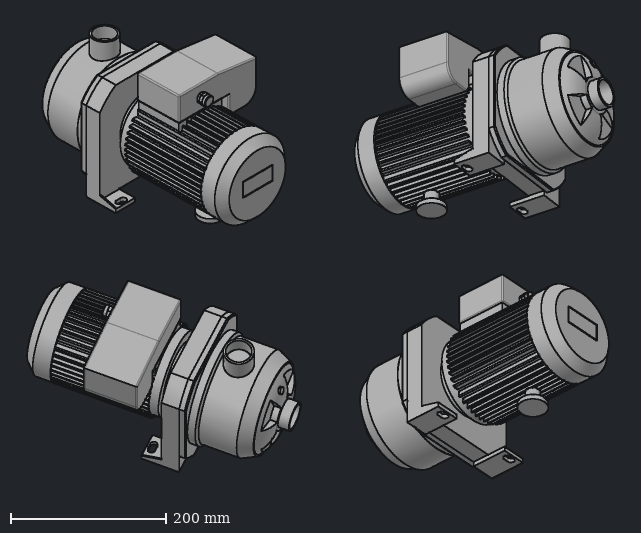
import cadquery as cq
import math


port_outer_dia = 40.0
port_bore_dia = 33.7
port_bore_depth = 20.0
hub_face_x = 15.0
hub_dia = 50.0
dome_radius = 54.5
dome_end_x = 30.0
cone_start_radius = 65.0
cone_end_x = 49.5
barrel_dia = 149.0
rim_slope_x = 103.0
rim_start_x = 106.2
rim_dia = 156.5
recess_floor_x = 24.8
recess_angle = 45.0
recess_count = 4
discharge_x = 79.0
discharge_top_z = 102.5

plug_dia = 10.0
plug_tilt = 17.0
plug_face_x = 18.2
plug_face_z = 48.7
plug_length = 8.0

plate_start_x = 117.0
bracket_start_x = 126.7
bracket_end_x = 151.5
plate_half_width = 83.0
plate_flat_half_width = 53.5
plate_corner_radius = math.hypot(plate_half_width, plate_flat_half_width)
plate_bevel_width = 2.0
plate_bevel_depth = 1.3
ground_z = -90.0
leg_width = 36.0
foot_end_x = 180.0
foot_thickness = 6.7
foot_rib_width = 2.0
foot_rib_top_z = -75.7
slot_width = 10.0
slot_x = 172.0
slot_inner_y = 56.0
slot_outer_y = 73.5

neck_dia = 91.0
core_start_x = 166.0
core_dia = 120.0
motor_dia = 130.0
fin_start_x = 178.8
fin_pitch = 8.08
fin_width = 2.0
fins_each_side = 5
seat_end_x = 251.5
seat_half_width = 39.4
cap_start_x = 316.0
cap_chamfer_x = 340.8
cap_end_x = 354.5
cap_end_radius = 52.2
nameplate_width = 55.0
nameplate_height = 24.5
nameplate_z = 3.8
nameplate_thickness = 1.0

box_start_x = 178.0
box_end_x = 253.5
box_front_y = -41.3
box_back_y = 102.0
box_top_z = 109.0
box_crease_y = 30.5
box_back_top_z = 99.3
box_floor_z = 65.0
box_drop_y = 50.0
box_drop_z = 31.8
box_drop_radius = 21.8
box_edge_radius = 2.0

gland_dia = 16.0
gland_z = 86.6
gland_nut_start_x = 257.2
gland_nut_end_x = 262.3
gland_end_x = 268.0
gland_nut_corner_dia = 17.5
gland_chamfer = 0.7

support_x = 269.7
support_stem_dia = 20.0
support_pad_dia = 40.0
support_cone_top_z = -76.5
support_pad_top_z = -82.7


def x_cylinder(diameter, start_x, end_x):
    """Cylinder on the shaft axis between two X positions."""
    return cq.Workplane("YZ").workplane(offset=start_x).circle(diameter / 2).extrude(end_x - start_x)


def x_prism(points, start_x, end_x):
    """Prism with a closed (Y, Z) outline between two X positions."""
    return cq.Workplane("YZ").workplane(offset=start_x).polyline(points).close().extrude(end_x - start_x)


def revolve_about_x(profile):
    return profile.close().revolve(360, (0, 0, 0), (1, 0, 0))


def vent_plug():
    tilt = math.radians(plug_tilt)
    inward = cq.Vector(math.cos(tilt), 0, -math.sin(tilt))
    face_center = cq.Vector(plug_face_x, 0, plug_face_z)
    return cq.Workplane(cq.Solid.makeCylinder(plug_dia / 2, plug_length, face_center, inward))


def dome_recess():
    """Pie-shaped pocket centred on the +Y direction, between the hub and the dome."""
    half_angle = math.radians(recess_angle / 2)
    reach = cone_start_radius
    side_y = reach * math.cos(half_angle)
    side_z = reach * math.sin(half_angle)
    wedge = x_prism([(0, 0), (side_y, -side_z), (side_y, side_z)], hub_face_x, recess_floor_x)
    return wedge.cut(x_cylinder(hub_dia, hub_face_x, recess_floor_x))


def pump_housing(plug):
    hub_radius = hub_dia / 2
    barrel_radius = barrel_dia / 2
    rim_radius = rim_dia / 2

    def dome_point(angle):
        return (
            hub_face_x + dome_radius * (1 - math.cos(angle)),
            hub_radius + dome_radius * math.sin(angle),
        )

    dome_angle = math.acos(1 - (dome_end_x - hub_face_x) / dome_radius)
    body = revolve_about_x(
        cq.Workplane("XY")
        .moveTo(hub_face_x, 0)
        .lineTo(hub_face_x, hub_radius)
        .threePointArc(dome_point(dome_angle / 2), dome_point(dome_angle))
        .lineTo(dome_end_x, cone_start_radius)
        .lineTo(cone_end_x, barrel_radius)
        .lineTo(rim_slope_x, barrel_radius)
        .lineTo(rim_start_x, rim_radius)
        .lineTo(plate_start_x, rim_radius)
        .lineTo(plate_start_x, 0)
    )
    recess = dome_recess()
    for index in range(recess_count):
        angle = 360 / recess_count * (index + 0.5)
        body = body.cut(recess.rotate((0, 0, 0), (1, 0, 0), angle))

    suction_port = x_cylinder(port_outer_dia, 0, recess_floor_x)
    suction_bore = x_cylinder(port_bore_dia, 0, port_bore_depth)
    discharge = cq.Workplane("XY").center(discharge_x, 0)
    discharge_port = discharge.circle(port_outer_dia / 2).extrude(discharge_top_z)
    discharge_bore = (
        discharge.workplane(offset=discharge_top_z).circle(port_bore_dia / 2).extrude(-port_bore_depth)
    )
    body = body.union(suction_port).union(discharge_port)
    return body.cut(suction_bore).cut(discharge_bore).cut(plug)


def cover_plate():
    """Square plate with its corners rounded about the shaft axis and a bevelled front edge."""
    side = 2 * plate_half_width
    depth = bracket_start_x - plate_start_x
    plate = cq.Workplane("YZ").workplane(offset=plate_start_x).rect(side, side).extrude(depth)
    plate = plate.intersect(x_cylinder(2 * plate_corner_radius, plate_start_x, bracket_start_x))
    return plate.faces("<X").edges().chamfer(plate_bevel_depth, plate_bevel_width)


def foot():
    """Slotted foot on the +Y side with a sloping rib along its outer edge."""
    inner_y = plate_half_width - leg_width
    floor_z = ground_z + foot_thickness
    length = foot_end_x - bracket_end_x
    floor = cq.Workplane("XY").box(length, leg_width, foot_thickness, centered=False)
    floor = floor.translate((bracket_end_x, inner_y, ground_z))
    rib = (
        cq.Workplane("XZ", origin=(0, plate_half_width, 0))
        .polyline([(bracket_end_x, floor_z), (foot_end_x, floor_z), (bracket_end_x, foot_rib_top_z)])
        .close()
        .extrude(foot_rib_width)
    )
    slot = (
        cq.Workplane("XY", origin=(slot_x, (slot_inner_y + slot_outer_y) / 2, ground_z))
        .slot2D(slot_outer_y - slot_inner_y, slot_width, 90)
        .extrude(foot_thickness)
    )
    return floor.union(rib).cut(slot)


def foot_bracket():
    half = plate_half_width
    depth = bracket_end_x - bracket_start_x
    bracket = cq.Workplane("YZ").workplane(offset=bracket_start_x).rect(2 * half, 2 * half).extrude(depth)
    bracket = bracket.intersect(x_cylinder(2 * plate_corner_radius, bracket_start_x, bracket_end_x))
    for side in (-1, 1):
        inner_y = side * (half - leg_width)
        outer_y = side * half
        leg_outline = [(inner_y, 0), (outer_y, 0), (outer_y, ground_z), (inner_y, ground_z)]
        bracket = bracket.union(x_prism(leg_outline, bracket_start_x, bracket_end_x))
    return bracket.union(foot()).union(foot().mirror("XZ"))


def motor():
    """Motor body with its neck, upright and level cooling fins, and the seat of the terminal box."""
    fin_length = cap_start_x - fin_start_x
    middle_x = (cap_start_x + fin_start_x) / 2
    neck = x_cylinder(neck_dia, bracket_end_x, core_start_x)
    core = x_cylinder(core_dia, core_start_x, cap_start_x)
    body = neck.union(core)

    fin_envelope = x_cylinder(motor_dia, fin_start_x, cap_start_x)
    for index in range(-fins_each_side, fins_each_side + 1):
        offset = index * fin_pitch
        upright = cq.Workplane("XY").box(fin_length, fin_width, motor_dia).translate((middle_x, offset, 0))
        level = cq.Workplane("XY").box(fin_length, motor_dia, fin_width).translate((middle_x, 0, offset))
        body = body.union(upright.intersect(fin_envelope))
        body = body.union(level.intersect(fin_envelope))

    seat = (
        cq.Workplane("XY")
        .box(seat_end_x - fin_start_x, 2 * seat_half_width, box_floor_z, centered=(False, True, False))
        .translate((fin_start_x, 0, 0))
    )
    return body.union(seat)


def fan_cap():
    radius = motor_dia / 2
    return revolve_about_x(
        cq.Workplane("XY")
        .moveTo(cap_start_x, 0)
        .lineTo(cap_start_x, radius)
        .lineTo(cap_chamfer_x, radius)
        .lineTo(cap_end_x, cap_end_radius)
        .lineTo(cap_end_x, 0)
    )


def nameplate():
    return (
        cq.Workplane("YZ", origin=(cap_end_x, 0, nameplate_z))
        .rect(nameplate_width, nameplate_height)
        .extrude(nameplate_thickness)
    )


def terminal_box():
    arc_center_y = box_back_y - box_drop_radius
    arc_center_z = box_drop_z + box_drop_radius
    arc_middle = box_drop_radius * math.sqrt(0.5)
    lid = (
        cq.Workplane("YZ", origin=(box_start_x, 0, 0))
        .moveTo(box_front_y, box_floor_z)
        .lineTo(box_front_y, box_top_z)
        .lineTo(box_crease_y, box_top_z)
        .lineTo(box_back_y, box_back_top_z)
        .lineTo(box_back_y, arc_center_z)
        .threePointArc((arc_center_y + arc_middle, arc_center_z - arc_middle), (arc_center_y, box_drop_z))
        .lineTo(box_drop_y, box_drop_z)
        .lineTo(box_drop_y, box_floor_z)
        .close()
        .extrude(box_end_x - box_start_x)
    )
    lid = lid.faces("<X or >X or <Y").edges().fillet(box_edge_radius)
    return lid.cut(x_cylinder(motor_dia, box_start_x, box_end_x))


def cable_gland():
    def section(start_x):
        return cq.Workplane("YZ", origin=(start_x, 0, gland_z))

    stem = section(box_end_x).circle(gland_dia / 2).extrude(gland_nut_start_x - box_end_x)
    nut_length = gland_nut_end_x - gland_nut_start_x
    nut = section(gland_nut_start_x).polygon(6, gland_nut_corner_dia).extrude(nut_length)
    end = section(gland_nut_end_x).circle(gland_dia / 2).extrude(gland_end_x - gland_nut_end_x)
    end = end.faces(">X").edges().chamfer(gland_chamfer)
    return stem.union(nut).union(end)


def support_foot():
    stem_radius = support_stem_dia / 2
    pad_radius = support_pad_dia / 2
    foot_body = (
        cq.Workplane("XZ")
        .moveTo(0, ground_z)
        .lineTo(pad_radius, ground_z)
        .lineTo(pad_radius, support_pad_top_z)
        .lineTo(stem_radius, support_cone_top_z)
        .lineTo(stem_radius, -core_dia / 2)
        .lineTo(0, -core_dia / 2)
        .close()
        .revolve(360, (0, 0, 0), (0, 1, 0))
        .translate((support_x, 0, 0))
    )
    return foot_body.cut(x_cylinder(motor_dia, fin_start_x, cap_start_x))


plug = vent_plug()
bodies = [
    pump_housing(plug),
    plug,
    cover_plate(),
    foot_bracket(),
    motor(),
    fan_cap(),
    nameplate(),
    terminal_box(),
    cable_gland(),
    support_foot(),
]
result = cq.Compound.makeCompound([body.val() for body in bodies])